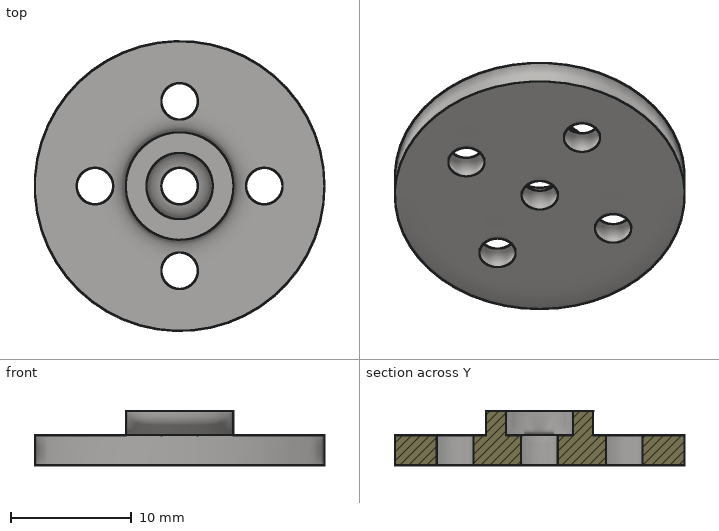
import cadquery as cq

flange_diameter = 24.0
total_height = 4.5
flange_thickness = 2.5
boss_diameter = 8.9
recess_diameter = 5.5
hole_diameter = 3.0
bolt_circle_radius = 7.0
bolt_count = 4

boss_height = total_height - flange_thickness
recess_depth = boss_height

flange = cq.Workplane("XY").circle(flange_diameter / 2).extrude(flange_thickness)
body = flange.faces(">Z").workplane().circle(boss_diameter / 2).extrude(boss_height)

body = body.faces(">Z").workplane().cboreHole(hole_diameter, recess_diameter, recess_depth)

result = (
    body.faces("<Z")
    .workplane()
    .polarArray(bolt_circle_radius, 0, 360, bolt_count)
    .hole(hole_diameter, flange_thickness)
)